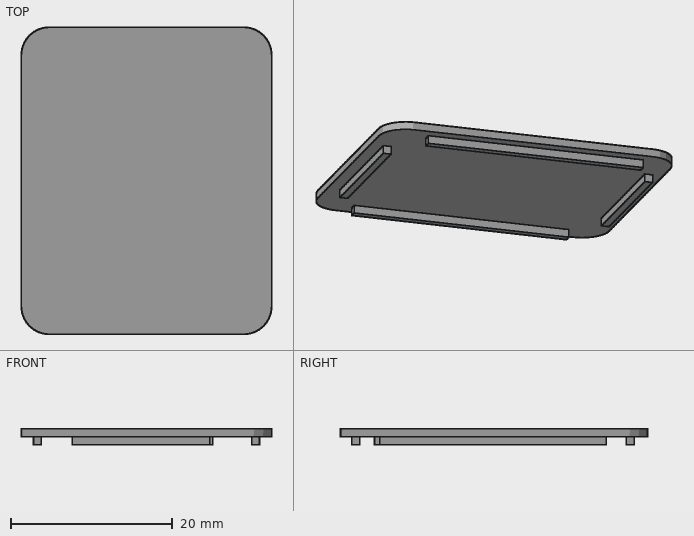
import cadquery as cq

plate_width = 31.0
plate_length = 38.0
plate_thickness = 1.0
corner_radius = 3.5

rib_thickness = 1.0
rib_depth = 1.0

side_rib_length = 28.0
side_rib_x = 13.5
left_rib_y = -0.8
right_rib_y = -0.1

end_rib_length = 17.0
front_rib_x = -0.7
front_rib_y = -17.1
back_rib_x = -0.3
back_rib_y = 16.85


def make_plate():
    """Flat plate with rounded vertical corners."""
    return (
        cq.Workplane("XY")
        .rect(plate_width, plate_length)
        .extrude(plate_thickness)
        .edges("|Z")
        .fillet(corner_radius)
    )


def make_rib(size_x, size_y, center_x, center_y):
    """Rectangular rib hanging from the underside of the plate."""
    return (
        cq.Workplane("XY")
        .center(center_x, center_y)
        .rect(size_x, size_y)
        .extrude(-rib_depth)
    )


result = make_plate()

for rib_x, rib_y in ((-side_rib_x, left_rib_y), (side_rib_x, right_rib_y)):
    result = result.union(make_rib(rib_thickness, side_rib_length, rib_x, rib_y))

for rib_x, rib_y in ((front_rib_x, front_rib_y), (back_rib_x, back_rib_y)):
    result = result.union(make_rib(end_rib_length, rib_thickness, rib_x, rib_y))